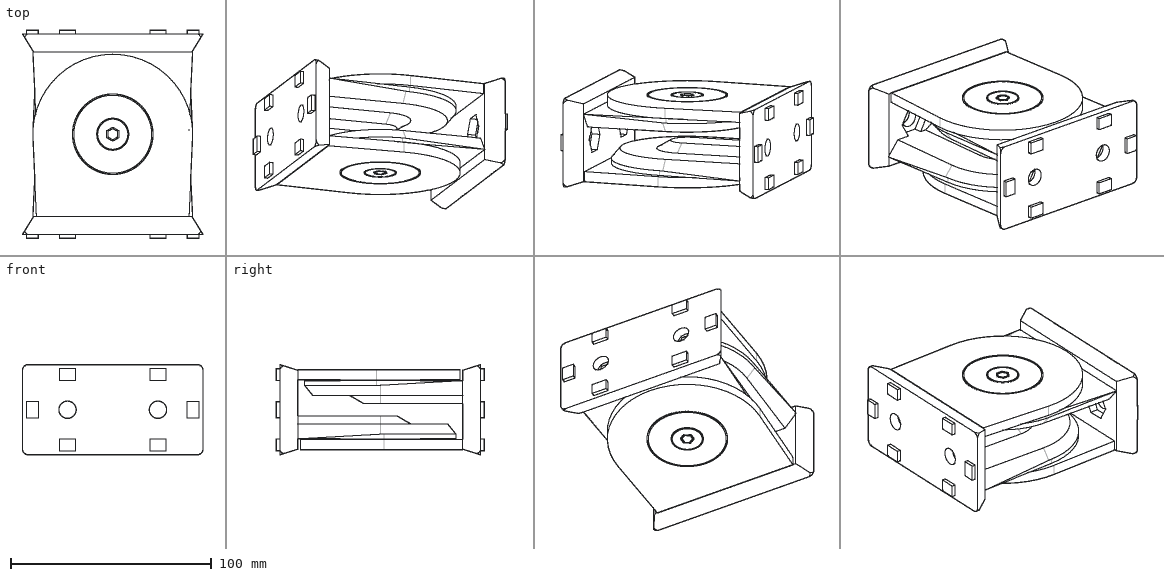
import cadquery as cq
import math

flange_width = 90.0
flange_height = 45.0
flange_outer_y = 50.0
flange_thickness = 9.0
flange_inner_width = 79.0
flange_inner_height = 39.4
flange_corner_radius = 3.0
flange_inner_y = flange_outer_y - flange_thickness

pad_length = 8.0
pad_breadth = 6.0
pad_height = 1.8
pad_edge_offset = 5.0

bolt_spacing = 45.0
bolt_hole_diameter = 8.5
nut_across_flats = 14.0
nut_pocket_depth = 4.2

plate_outer_z = 20.0
plate_gap = 0.3
outer_plate_thickness = 5.2
outer_plate_radius = 39.8
outer_plate_foot_half_width = 38.0
inner_plate_radius = 37.8
inner_plate_foot_half_width = 39.8
outer_plate_inner_z = plate_outer_z - outer_plate_thickness
inner_plate_outer_z = outer_plate_inner_z - plate_gap

slope_wide_radius = inner_plate_foot_half_width
slope_narrow_radius = 33.5
slope_narrow_z = 7.0
rib_wide_radius = 15.2
rib_narrow_radius = 8.3
rib_narrow_z = 3.0

boss_diameter = 40.0
boss_hole_diameter = 40.2
boss_chamfer = 0.6
ring_diameter = 16.0
ring_groove_size = 0.5
hex_across_flats = 6.0
hex_groove_width = 0.6
hex_groove_depth = 0.5


def hexagon_diameter(across_flats):
    """Corner-to-corner size of a hexagon."""
    return across_flats / math.cos(math.radians(30))


def make_flange():
    """Tapered flange at -Y with its pads, bolt holes and nut pockets."""
    block = (
        cq.Workplane("XZ", origin=(0, -flange_outer_y, 0))
        .rect(flange_width, flange_height)
        .workplane(offset=-flange_thickness)
        .rect(flange_inner_width, flange_inner_height)
        .loft(ruled=True)
    )
    outer_face = cq.Workplane("XZ", origin=(0, -flange_outer_y, 0))
    rounded_limit = (
        outer_face.rect(flange_width, flange_height)
        .extrude(-flange_thickness)
        .edges("|Y")
        .fillet(flange_corner_radius)
    )
    bolt_places = [(-bolt_spacing / 2, 0), (bolt_spacing / 2, 0)]
    bolt_holes = outer_face.pushPoints(bolt_places).circle(bolt_hole_diameter / 2).extrude(-flange_thickness)
    nut_pockets = (
        cq.Workplane("XZ", origin=(0, -flange_inner_y, 0))
        .pushPoints(bolt_places)
        .polygon(6, hexagon_diameter(nut_across_flats))
        .extrude(nut_pocket_depth)
    )
    pad_row_z = flange_height / 2 - pad_edge_offset
    pad_column_x = flange_width / 2 - pad_edge_offset
    long_pads = (
        outer_face.rect(bolt_spacing, 2 * pad_row_z, forConstruction=True)
        .vertices()
        .rect(pad_length, pad_breadth)
        .extrude(pad_height)
    )
    end_pads = (
        outer_face.pushPoints([(-pad_column_x, 0), (pad_column_x, 0)])
        .rect(pad_breadth, pad_length)
        .extrude(pad_height)
    )
    return block.intersect(rounded_limit).cut(bolt_holes).cut(nut_pockets).union(long_pads).union(end_pads)


def plate_outline(radius, foot_half_width, base_z):
    """Round plate end, with straight sides running tangent from it to the foot at the flange."""
    foot_distance = math.hypot(foot_half_width, flange_inner_y)
    foot_angle = math.atan2(-flange_inner_y, foot_half_width)
    tangent_angle = foot_angle + math.acos(radius / foot_distance)
    tangent_x = radius * math.cos(tangent_angle)
    tangent_y = radius * math.sin(tangent_angle)
    return (
        cq.Workplane("XY", origin=(0, 0, base_z))
        .moveTo(-foot_half_width, -flange_inner_y)
        .lineTo(foot_half_width, -flange_inner_y)
        .lineTo(tangent_x, tangent_y)
        .threePointArc((0, radius), (-tangent_x, tangent_y))
        .close()
    )


def sloped_tongue(wide_radius, narrow_radius, wide_z, narrow_z):
    """Cone at the pivot, with the same sloped sides carried straight to the flange."""
    height = narrow_z - wide_z
    cone = (
        cq.Workplane("XY", origin=(0, 0, wide_z))
        .circle(wide_radius)
        .workplane(offset=height)
        .circle(narrow_radius)
        .loft()
    )
    sides = (
        cq.Workplane("XZ")
        .moveTo(-wide_radius, wide_z)
        .lineTo(wide_radius, wide_z)
        .lineTo(narrow_radius, narrow_z)
        .lineTo(-narrow_radius, narrow_z)
        .close()
        .extrude(flange_inner_y)
    )
    return cone.union(sides)


def make_outer_plate():
    """Plate above the mid-plane with the hole for the other half's boss."""
    plate = plate_outline(outer_plate_radius, outer_plate_foot_half_width, outer_plate_inner_z)
    hole = cq.Workplane("XY").circle(boss_hole_diameter / 2).extrude(plate_outer_z)
    return plate.extrude(outer_plate_thickness).cut(hole)


def make_inner_plate():
    """Plate below the mid-plane: sloped tongue trimmed to the plate outline, with a narrower rib on it."""
    tongue = sloped_tongue(slope_wide_radius, slope_narrow_radius, -inner_plate_outer_z, -slope_narrow_z)
    outline = plate_outline(inner_plate_radius, inner_plate_foot_half_width, -inner_plate_outer_z)
    outline = outline.extrude(inner_plate_outer_z - slope_narrow_z)
    rib = sloped_tongue(rib_wide_radius, rib_narrow_radius, -slope_narrow_z, -rib_narrow_z)
    return tongue.intersect(outline).union(rib)


def make_boss():
    """Pivot boss below the inner plate, with a ring groove and a hexagonal groove in its end."""
    boss = (
        cq.Workplane("XY", origin=(0, 0, -plate_outer_z))
        .circle(boss_diameter / 2)
        .extrude(plate_outer_z - inner_plate_outer_z)
        .faces("<Z")
        .chamfer(boss_chamfer)
    )
    ring_radius = ring_diameter / 2
    ring_groove = (
        cq.Workplane("XZ")
        .moveTo(ring_radius - ring_groove_size, -plate_outer_z)
        .lineTo(ring_radius, -plate_outer_z)
        .lineTo(ring_radius, -plate_outer_z + ring_groove_size)
        .close()
        .revolve(360, (0, 0, 0), (0, 1, 0))
    )
    hex_groove = (
        cq.Workplane("XY", origin=(0, 0, -plate_outer_z))
        .transformed(rotate=(0, 0, 30))
        .polygon(6, hexagon_diameter(hex_across_flats))
        .polygon(6, hexagon_diameter(hex_across_flats - 2 * hex_groove_width))
        .extrude(hex_groove_depth)
    )
    return boss.cut(ring_groove).cut(hex_groove)


def make_hinge_half():
    """One half of the hinge, with its flange at -Y and its outer plate on top."""
    return make_flange().union(make_outer_plate()).union(make_inner_plate()).union(make_boss())


hinge_halves = []
for turn in (0, 180):
    half = make_hinge_half().rotate((0, 0, 0), (1, 0, 0), turn)
    hinge_halves.append(half.solids().val())

result = cq.Compound.makeCompound(hinge_halves)